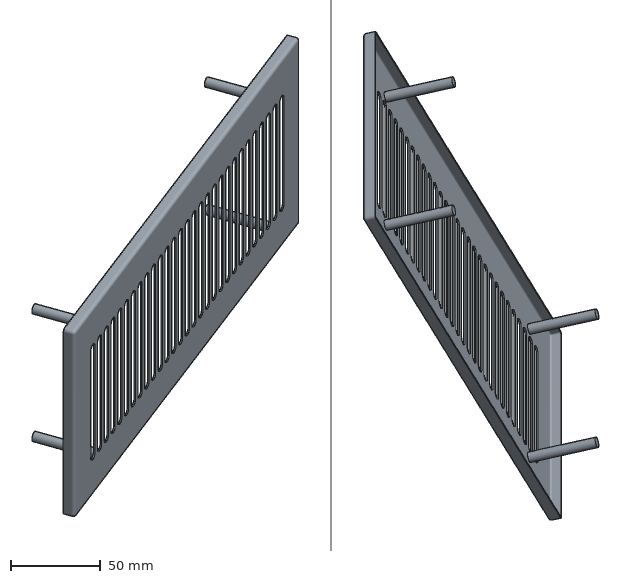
import cadquery as cq

length = 300.0
height = 130.0
total_depth = 41.0
tray_depth = 7.2
sheet = 1.0
corner_radius = 2.0

slot_count = 29
slot_pitch = 9.0
slot_width = 5.5
slot_length = 80.0

post_diameter = 6.0
post_spacing_y = 230.0
post_spacing_z = 89.0

rim_x = total_depth - tray_depth
post_length = total_depth - sheet / 2


def make_tray():
    """Thin tray with rounded outer edges and matching rounded inner edges."""
    block = cq.Workplane("XY").box(tray_depth, length, height)
    block = block.translate((rim_x + tray_depth / 2, 0, 0))
    rounded = block.edges("not <X").fillet(corner_radius)
    return rounded.faces("<X").shell(-sheet)


def make_slots():
    """Cutters for the row of round-ended slots."""
    return (
        cq.Workplane("YZ", origin=(rim_x, 0, 0))
        .rarray(slot_pitch, 3, slot_count, 1)
        .slot2D(slot_length, slot_width, angle=90)
        .extrude(tray_depth)
    )


def make_posts():
    """Four round posts reaching from their tips to halfway through the sheet."""
    return (
        cq.Workplane("YZ")
        .rarray(post_spacing_y, post_spacing_z, 2, 2)
        .circle(post_diameter / 2)
        .extrude(post_length)
    )


result = make_tray().cut(make_slots()).union(make_posts())